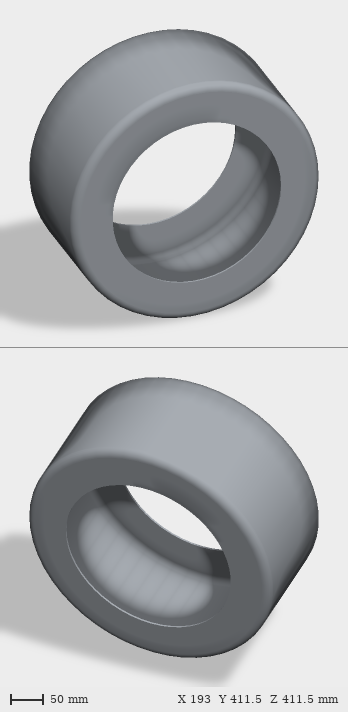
import cadquery as cq

outer_diameter = 411.5
width = 193.0
opening_diameter = 279.0
wall = 3.0
outer_edge_radius = 12.8
inner_edge_radius = outer_edge_radius - wall


def cylinder(diameter, length):
    """Solid cylinder along X, centred on the origin."""
    return cq.Workplane("YZ", origin=(-length / 2, 0, 0)).circle(diameter / 2).extrude(length)


def rounded_drum(diameter, length, edge_radius):
    """Centred cylinder with both rims rounded."""
    return cylinder(diameter, length).edges("%CIRCLE").fillet(edge_radius)


shell = rounded_drum(outer_diameter, width, outer_edge_radius)
cavity = rounded_drum(outer_diameter - 2 * wall, width - 2 * wall, inner_edge_radius)

opening = cylinder(opening_diameter, width)

result = shell.cut(cavity).cut(opening)